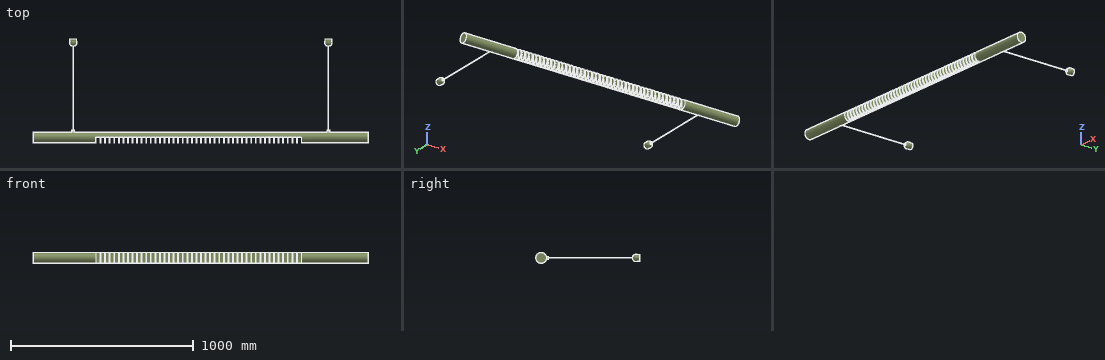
import cadquery as cq
import math

bar_length = 1836.0
bar_diameter = 60.0
bar_radius = bar_diameter / 2
bar_start = -bar_length / 2

opening_inset = 344.35
opening_start = bar_start + opening_inset
fin_count = 44
fin_pitch = 25.0
fin_thickness = 5.0
opening_length = (fin_count + 1) * fin_pitch

hanger_inset = 219.5
canopy_end_y = 540.03
canopy_diameter = 38.5
canopy_rim_length = 13.5
canopy_length = 40.0
canopy_nose_diameter = 14.0
cable_diameter = 3.0
ferrule_diameter = 16.0
ferrule_length = 10.0


def half_round(start_x, length):
    """Segment of the bar filling only its -Y half."""
    return (
        cq.Workplane("YZ", origin=(start_x, 0, 0))
        .moveTo(0, -bar_radius)
        .threePointArc((-bar_radius, 0), (0, bar_radius))
        .close()
        .extrude(length)
    )


def make_louvred_bar():
    bar = cq.Workplane("YZ", origin=(bar_start, 0, 0)).circle(bar_radius).extrude(bar_length)
    bar = bar.cut(half_round(opening_start, opening_length))
    for index in range(1, fin_count + 1):
        fin_start = opening_start + index * fin_pitch - fin_thickness / 2
        bar = bar.union(half_round(fin_start, fin_thickness))
    return bar


def make_hanger(center_x):
    """Ferrule, cable and domed canopy as one profile revolved about the cable axis."""
    ferrule_end_y = bar_radius + ferrule_length
    canopy_start_y = canopy_end_y - canopy_length
    rim_start_y = canopy_end_y - canopy_rim_length
    canopy_radius = canopy_diameter / 2
    nose_radius = canopy_nose_diameter / 2
    dome_length = rim_start_y - canopy_start_y
    center_offset = (dome_length**2 + nose_radius**2 - canopy_radius**2) / (2 * dome_length)
    dome_center_y = rim_start_y - center_offset
    dome_radius = math.hypot(canopy_radius, center_offset)
    profile = (
        cq.Workplane("XY", origin=(center_x, 0, 0))
        .lineTo(0, canopy_end_y)
        .lineTo(canopy_radius, canopy_end_y)
        .lineTo(canopy_radius, rim_start_y)
        .threePointArc((dome_radius, dome_center_y), (nose_radius, canopy_start_y))
        .lineTo(cable_diameter / 2, canopy_start_y)
        .lineTo(cable_diameter / 2, ferrule_end_y)
        .lineTo(ferrule_diameter / 2, ferrule_end_y)
        .lineTo(ferrule_diameter / 2, 0)
        .close()
    )
    return profile.revolve(360, (0, 0, 0), (0, 1, 0))


result = make_louvred_bar()
for side in (-1, 1):
    result = result.union(make_hanger(side * (bar_length / 2 - hanger_inset)))